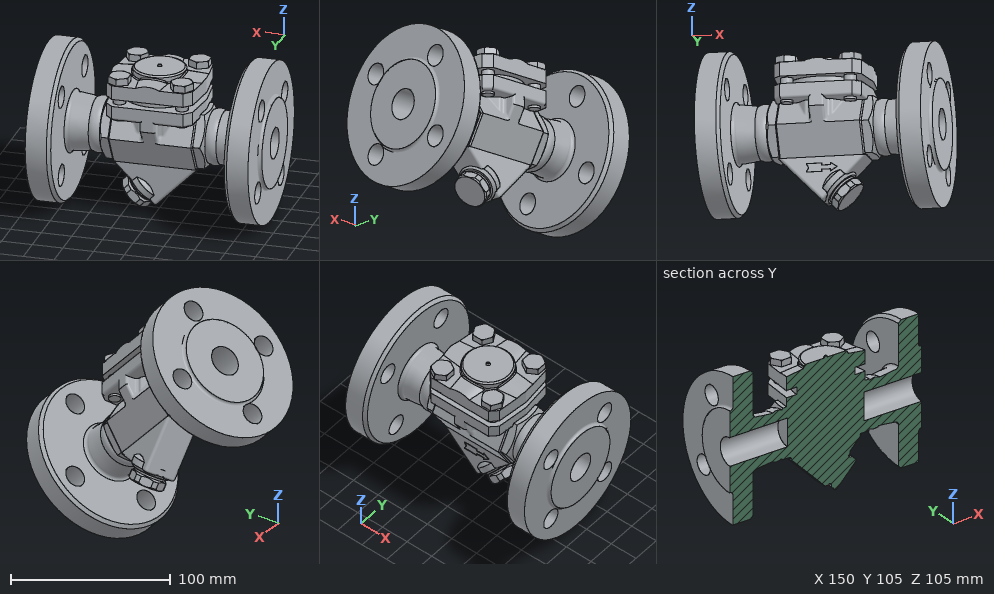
import cadquery as cq
import math

overlap = 0.2
tolerance = 0.02

overall_length = 150.0
flange_diameter = 105.0
flange_outer_x = 72.8
flange_inner_x = 56.5
flange_chamfer_length = 2.2
flange_chamfer_depth = 2.1
raised_face_diameter = 57.9
raised_face_root_diameter = 61.4
bore_diameter = 20.0
bore_end_x = 30.0
bolt_circle_diameter = 75.0
flange_hole_diameter = 14.0
left_hole_angle = 54.0
right_hole_angle = 45.0
neck_foot_radius = 20.4
neck_start_x = 53.4
neck_start_radius = 18.6
neck_end_radius = 17.2
weld_outer_x = 41.7
weld_inner_x = 34.4
weld_crown_radius = 18.3

end_hex_flats = 36.8
end_hex_start_x = 27.6
end_cone_start_x = 32.1
middle_hex_corner_radius = 22.5
middle_hex_end_x = 26.7

cover_half_y = 28.0
cover_side_x = 28.2
cover_middle_x = 30.8
cover_corner_cut = 5.0
body_flange_bottom = 15.3
body_flange_top = 24.8
cover_bottom = 29.5
cover_top = 38.7
spigot_diameter = 45.8
body_flange_edge_radius = 1.6

bolt_offset = 20.4
bolt_diameter = 8.0
bolt_bottom = 13.8
bolt_head_top = 43.4
bolt_head_flats = 13.0
bolt_head_chamfer_diameter = 14.0

boss_diameter = 34.0
boss_foot_size = 0.8
boss_top = 43.8
boss_edge_size = 1.0
nub_diameter = 2.8
nub_height = 1.0
nub_taper = 30
crown_inner_reach = 15.0
crown_inner_half_width = 9.6
crown_inner_rise = 3.0
crown_outer_half_width = 7.8
crown_rise_y = 1.8
crown_rise_x = 0.8

column_half_y = 19.8
column_corner_sum = 28.5
column_half_x = 25.5
column_edge_radius = 2.4
pocket_radius = 2.4
rib_half_width = 5.1
rib_edge_radius = 1.6

wedge_depth = 47.4
wedge_tip_radius = 1.5
wedge_edge_radius = 2.0
wedge_half_width = middle_hex_corner_radius / 2

plug_axis_shift = -19.8
plug_boss_radius = 13.8
plug_boss_start = 26.1
plug_boss_cylinder_start = 28.5
plug_boss_chamfer = 2.0
plug_boss_end = 34.8
plug_collar_diameter = 21.0
plug_collar_end = 36.3
plug_hex_end = 42.8
plug_hex_flats = 22.0
plug_hex_diameter = 23.5
plug_hex_chamfer = 0.9

arrow_length = 19.8
arrow_center_z = -26.4
arrow_half_height = 2.7
arrow_shaft_half_height = 1.4
arrow_notch = 1.5
arrow_tail_length = 9.9
arrow_head_length = 4.2
arrow_thickness = 0.3


def hex_prism(plane, corner_radius, length, first_angle=0.0):
    """Hexagonal prism extruded from a plane, its first corner at the given angle."""
    corners = []
    for i in range(6):
        angle = math.radians(first_angle + 60 * i)
        corners.append((corner_radius * math.cos(angle), corner_radius * math.sin(angle)))
    return cq.Workplane(plane).polyline(corners).close().extrude(length)


def corner_radius_of(flats):
    return flats / math.sqrt(3)


def concave_middle(center, corner):
    """Middle of a hollow quarter round between a rounding center and the sharp inner corner."""
    along = math.sqrt(0.5)
    return tuple(c + along * (k - c) for c, k in zip(center, corner))


def flange_and_neck():
    """Flange, weld neck and weld bead on the +X side."""
    rim = flange_diameter / 2
    end_x = overall_length / 2
    face_radius = raised_face_diameter / 2
    face_root = raised_face_root_diameter / 2
    profile = (
        cq.Workplane("XY")
        .moveTo(end_hex_start_x, 0)
        .lineTo(end_x, 0)
        .lineTo(end_x, face_radius)
        .threePointArc(
            concave_middle((end_x, face_root), (flange_outer_x, face_radius)),
            (flange_outer_x, face_root),
        )
        .lineTo(flange_outer_x, rim)
        .lineTo(flange_inner_x + flange_chamfer_length, rim)
        .lineTo(flange_inner_x, rim - flange_chamfer_depth)
        .lineTo(flange_inner_x, neck_foot_radius)
        .threePointArc(
            concave_middle((neck_start_x, neck_foot_radius), (flange_inner_x, neck_start_radius)),
            (neck_start_x, neck_start_radius),
        )
        .lineTo(weld_outer_x, neck_end_radius)
        .threePointArc(
            ((weld_outer_x + weld_inner_x) / 2, weld_crown_radius),
            (weld_inner_x, neck_end_radius),
        )
        .lineTo(end_hex_start_x, neck_end_radius)
        .close()
    )
    return profile.revolve(360, (0, 0, 0), (1, 0, 0))


def flange_holes(side, first_angle):
    """Four through holes of the flange on the given side (-1 or +1)."""
    start_x = min(side * flange_inner_x, side * flange_outer_x)
    return (
        cq.Workplane("YZ", origin=(start_x, 0, 0))
        .polarArray(bolt_circle_diameter / 2, first_angle, 360, 4)
        .circle(flange_hole_diameter / 2)
        .extrude(flange_outer_x - flange_inner_x)
    )


def bore(side):
    start_x = min(side * bore_end_x, side * overall_length / 2)
    length = overall_length / 2 - bore_end_x
    return cq.Workplane("YZ", origin=(start_x, 0, 0)).circle(bore_diameter / 2).extrude(length)


def hex_bar():
    """Thick middle bar with slightly smaller hexagonal ends, turned to a cone."""
    end_radius = corner_radius_of(end_hex_flats)
    full = hex_prism(cq.Plane((-weld_inner_x, 0, 0), (0, 1, 0), (1, 0, 0)), end_radius, 2 * weld_inner_x)
    turned = (
        cq.Workplane("XY")
        .polyline([
            (-weld_inner_x, 0),
            (-weld_inner_x, neck_end_radius),
            (-end_cone_start_x, end_radius),
            (end_cone_start_x, end_radius),
            (weld_inner_x, neck_end_radius),
            (weld_inner_x, 0),
        ])
        .close()
        .revolve(360, (0, 0, 0), (1, 0, 0))
    )
    middle = hex_prism(
        cq.Plane((-end_hex_start_x, 0, 0), (0, 1, 0), (1, 0, 0)),
        middle_hex_corner_radius,
        2 * end_hex_start_x,
    ).faces("<X or >X").chamfer(end_hex_start_x - middle_hex_end_x)
    return full.intersect(turned).union(middle)


def cover_outline(bottom, top):
    """Plate with cut corners and slightly pointed -X and +X sides."""
    cut_x = cover_side_x - cover_corner_cut
    cut_y = cover_half_y - cover_corner_cut
    points = [
        (cut_x, cover_half_y),
        (cover_side_x, cut_y),
        (cover_middle_x, 0),
        (cover_side_x, -cut_y),
        (cut_x, -cover_half_y),
    ]
    points += [(-x, y) for x, y in reversed(points)]
    return cq.Workplane("XY", origin=(0, 0, bottom)).polyline(points).close().extrude(top - bottom)


def body_flange():
    plate = cover_outline(body_flange_bottom, body_flange_top)
    return plate.faces("<Z").edges().fillet(body_flange_edge_radius)


def column():
    """Upright core with 45 degree corners that carries the body flange."""
    corner_x = column_corner_sum - column_half_y
    side_y = column_corner_sum - column_half_x
    quarter = [(corner_x, column_half_y), (column_half_x, side_y)]
    points = quarter + [(x, -y) for x, y in reversed(quarter)]
    points += [(-x, y) for x, y in reversed(points)]
    core = cq.Workplane("XY").polyline(points).close().extrude(body_flange_top)
    return core.edges("|Z").edges("<Y or >Y").fillet(column_edge_radius)


def column_ribs():
    """Front and back ribs that carry the sloping face of the bar up to the flange."""
    slope_top = (cover_half_y - middle_hex_corner_radius) * math.sqrt(3)
    rib = (
        cq.Workplane("YZ", origin=(-rib_half_width, 0, 0))
        .polyline([
            (0, 0),
            (-middle_hex_corner_radius, 0),
            (-cover_half_y, slope_top),
            (-cover_half_y, body_flange_top),
            (0, body_flange_top),
        ])
        .close()
        .extrude(2 * rib_half_width)
    )
    outer_corners = cq.selectors.BoxSelector(
        (-rib_half_width - overlap, -cover_half_y - overlap, overlap),
        (rib_half_width + overlap, -middle_hex_corner_radius, body_flange_top - overlap),
    )
    rib = rib.edges(outer_corners).edges("not |X").fillet(rib_edge_radius)
    return rib.union(rib.mirror("XZ"))


def bar_and_column():
    """Bar, column and ribs, with rounded corners around the front and back ribs."""
    body = hex_bar().union(column()).union(column_ribs())
    bar_at_column_z = (middle_hex_corner_radius - column_half_y) * math.sqrt(3)
    corners = []
    for x in (-rib_half_width, rib_half_width):
        for y in (-column_half_y, column_half_y):
            bar_side = math.copysign(middle_hex_corner_radius - pocket_radius, y)
            beside_rib = math.copysign(pocket_radius, x)
            corners.append((x, y, (bar_at_column_z + body_flange_top) / 2))
            corners.append((x + beside_rib, y, bar_at_column_z))
            corners.append((x, bar_side, pocket_radius * math.sqrt(3)))
    edges = [body.edges(cq.selectors.NearestToPointSelector(corner)).val() for corner in corners]
    return cq.Workplane(body.val().fillet(pocket_radius, edges))


def cover_crown(angle, reach, outer_rise):
    """Rib with an arched cross-section, running outwards from the boss."""
    base = cover_top - overlap

    def section(work, half_width, rise):
        return (
            work.moveTo(-half_width, base)
            .lineTo(half_width, base)
            .lineTo(half_width, cover_top)
            .threePointArc((0, cover_top + rise), (-half_width, cover_top))
            .close()
        )

    inner_plane = cq.Workplane("XZ", origin=(0, -crown_inner_reach, 0))
    inner = section(inner_plane, crown_inner_half_width, crown_inner_rise)
    outer = section(inner.workplane(offset=reach - crown_inner_reach), crown_outer_half_width, outer_rise)
    return outer.loft(ruled=True).rotate((0, 0, 0), (0, 0, 1), angle)


def is_boss_foot(edge):
    """True for edges on the boss surface where it meets the plate or a crowned rib."""
    if edge.geomType() == "LINE":
        return False
    points = [edge.positionAt(t) for t in (0, 0.5, 1)]
    on_boss = all(abs(math.hypot(p.x, p.y) - boss_diameter / 2) < tolerance for p in points)
    top_rim = boss_top - boss_edge_size
    return on_boss and all(cover_top - tolerance < p.z < top_rim - tolerance for p in points)


def cover():
    plate = cover_outline(cover_bottom, cover_top)
    crowns = cover_crown(0, cover_half_y, crown_rise_y)
    crowns = crowns.union(cover_crown(180, cover_half_y, crown_rise_y))
    for angle in (90, 270):
        crowns = crowns.union(cover_crown(angle, cover_middle_x, crown_rise_x))
    crowns = crowns.intersect(cover_outline(cover_bottom, boss_top))
    boss_radius = boss_diameter / 2
    boss = cq.Workplane("XY", origin=(0, 0, cover_bottom)).circle(boss_radius)
    boss = boss.extrude(boss_top - cover_bottom).faces(">Z").chamfer(boss_edge_size)
    body = plate.union(crowns).union(boss)
    foot_edges = body.edges().filter(is_boss_foot)
    body = foot_edges.chamfer(boss_foot_size)
    nub = cq.Workplane("XY", origin=(0, 0, boss_top)).circle(nub_diameter / 2)
    nub = nub.extrude(nub_height, taper=nub_taper)
    return body.union(nub)


def spigot():
    height = cover_bottom - body_flange_top
    return cq.Workplane("XY", origin=(0, 0, body_flange_top)).circle(spigot_diameter / 2).extrude(height)


def cover_bolt(x, y, head_angle):
    shank = cq.Workplane("XY", origin=(x, y, bolt_bottom)).circle(bolt_diameter / 2)
    shank = shank.extrude(cover_top - bolt_bottom)
    corner_radius = corner_radius_of(bolt_head_flats)
    height = bolt_head_top - cover_top
    head = hex_prism(cq.Plane((x, y, cover_top)), corner_radius, height, head_angle)
    edge = corner_radius - bolt_head_chamfer_diameter / 2
    turned = cq.Workplane("XY", origin=(x, y, cover_top)).circle(corner_radius).extrude(height)
    return shank.union(head.intersect(turned.faces(">Z").chamfer(edge)))


def wedge():
    block = (
        cq.Workplane("XZ", origin=(0, wedge_half_width, 0))
        .polyline([(-wedge_depth, 0), (wedge_depth, 0), (0, -wedge_depth)])
        .close()
        .extrude(2 * wedge_half_width)
    )
    block = block.edges("<Z").fillet(wedge_tip_radius)
    joint_depth = middle_hex_corner_radius * math.sqrt(3) / 2 - overlap
    above_joint = cq.Workplane("XY", origin=(0, 0, -joint_depth))
    above_joint = above_joint.rect(2 * wedge_depth, 2 * wedge_half_width).extrude(joint_depth)
    block = block.cut(above_joint)
    return block.faces("<Y or >Y").edges("not |X").fillet(wedge_edge_radius)


def plug():
    """Chamfered boss, round collar and hexagon head of the strainer plug."""
    inner_radius = plug_boss_radius - (plug_boss_cylinder_start - plug_boss_start)
    collar_radius = plug_collar_diameter / 2
    hex_radius = plug_hex_diameter / 2
    cone_end = plug_collar_end + hex_radius - collar_radius
    boss = cq.Workplane("XZ").polyline([
        (0, plug_boss_start),
        (inner_radius, plug_boss_start),
        (plug_boss_radius, plug_boss_cylinder_start),
        (plug_boss_radius, plug_boss_end - plug_boss_chamfer),
        (plug_boss_radius - plug_boss_chamfer, plug_boss_end),
        (collar_radius, plug_boss_end),
        (collar_radius, plug_collar_end),
        (0, plug_collar_end),
    ]).close().revolve(360, (0, 0, 0), (0, 1, 0))
    turned = cq.Workplane("XZ").polyline([
        (0, plug_collar_end),
        (collar_radius, plug_collar_end),
        (hex_radius, cone_end),
        (hex_radius, plug_hex_end - plug_hex_chamfer),
        (hex_radius - plug_hex_chamfer, plug_hex_end),
        (0, plug_hex_end),
    ]).close().revolve(360, (0, 0, 0), (0, 1, 0))
    head_plane = cq.Plane((0, 0, plug_collar_end))
    head = hex_prism(head_plane, corner_radius_of(plug_hex_flats), plug_hex_end - plug_collar_end)
    upright = boss.union(head.intersect(turned))
    shift = plug_axis_shift / math.sqrt(2)
    return upright.rotate((0, 0, 0), (0, 1, 0), 135).translate((shift, 0, shift))


def flow_arrow():
    start = -arrow_length / 2
    tip = arrow_length / 2
    shaft_start = start + arrow_tail_length
    head_start = tip - arrow_head_length
    upper = [
        (start, arrow_half_height),
        (shaft_start, arrow_half_height),
        (shaft_start, arrow_shaft_half_height),
        (head_start, arrow_shaft_half_height),
        (head_start, arrow_half_height),
    ]
    lower = [(x, -z) for x, z in reversed(upper)]
    points = [(start + arrow_notch, 0)] + upper + [(tip, 0)] + lower
    return (
        cq.Workplane("XZ", origin=(0, -wedge_half_width, arrow_center_z))
        .polyline(points)
        .close()
        .extrude(arrow_thickness)
    )


pipe_end = flange_and_neck()
result = bar_and_column().union(pipe_end).union(pipe_end.mirror("YZ"))
for feature in (body_flange(), spigot(), cover(), wedge(), plug(), flow_arrow()):
    result = result.union(feature)

for side_x in (-1, 1):
    for side_y in (-1, 1):
        head_turn = 30 if side_x == side_y else 0
        result = result.union(cover_bolt(side_x * bolt_offset, side_y * bolt_offset, head_turn))

for side, angle in ((-1, left_hole_angle), (1, right_hole_angle)):
    result = result.cut(flange_holes(side, angle)).cut(bore(side))